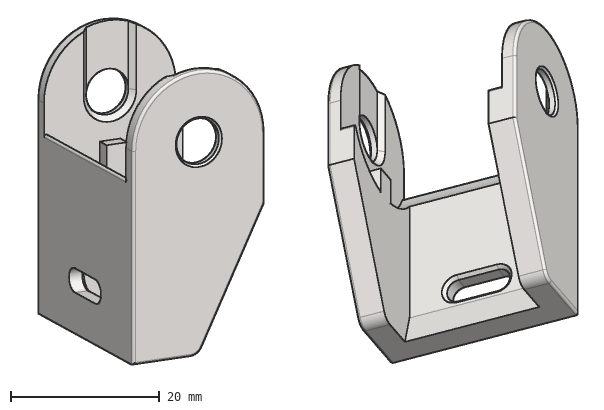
import cadquery as cq
import math

width = 28.0
depth = 20.0
height = 40.0
eye_radius = depth / 2
pivot_height = height - eye_radius

ear_thickness = 2.0
cheek_thickness = 4.0
rear_straight_bottom = 20.0
rear_corner_radius = 2.0
edge_radius = 0.4

clearance_radius = 10.5
clearance_lip_radius = 0.3
stop_width = 3.1
stop_top = 23.45

web_thickness = 2.5
foot_thickness = 4.0
foot_height = 4.8

hole_diameter = 6.4
hole_chamfer = 0.3
groove_depth = 0.8

slot_length = 9.35
slot_height = 3.4
slot_center_height = 7.5
slot_lip_thickness = 2.0

half_width = width / 2
half_depth = depth / 2
overcut = 0.4


def extrude_along_x(outline, x_start, x_end):
    """Extrude a closed YZ outline between two X positions."""
    return outline.extrude(x_end - x_start).translate((x_start, 0, 0))


def make_body():
    """Side outline across the full width, with both outer faces rounded at the edge."""
    outline = (
        cq.Workplane("YZ")
        .moveTo(-half_depth, 0)
        .lineTo(0, 0)
        .lineTo(half_depth, rear_straight_bottom)
        .lineTo(half_depth, pivot_height)
        .threePointArc((0, height), (-half_depth, pivot_height))
        .close()
    )
    body = extrude_along_x(outline, -half_width, half_width)
    rear_corner = cq.selectors.NearestToPointSelector((0, 0, 0))
    body = body.edges("|X").edges(rear_corner).fillet(rear_corner_radius)
    return body.faces("<X or >X").edges().fillet(edge_radius)


def make_inner_space():
    """Space between the cheeks, behind the web and its sloped foot."""
    web_back = -half_depth + web_thickness
    foot_back = -half_depth + foot_thickness
    outline = (
        cq.Workplane("YZ")
        .moveTo(foot_back, -overcut)
        .lineTo(foot_back, 0)
        .lineTo(web_back, foot_height)
        .lineTo(web_back, height + overcut)
        .lineTo(half_depth + overcut, height + overcut)
        .lineTo(half_depth + overcut, -overcut)
        .close()
    )
    inner_half_width = half_width - cheek_thickness
    return extrude_along_x(outline, -inner_half_width, inner_half_width)


def make_clearance():
    """Arc around the pivot with rounded lips, leaving a central stop standing."""
    lip_y = half_depth - clearance_lip_radius
    center_distance = clearance_radius + clearance_lip_radius
    angle = math.acos(lip_y / center_distance)
    lip_z = pivot_height - center_distance * math.sin(angle)
    arc_end_y = clearance_radius * math.cos(angle)
    arc_end_z = pivot_height - clearance_radius * math.sin(angle)
    outer_y = half_depth + overcut
    mid_angle = (math.pi - angle) / 2
    lip_mid_y = lip_y + clearance_lip_radius * math.cos(mid_angle)
    lip_mid_z = lip_z + clearance_lip_radius * math.sin(mid_angle)
    outline = (
        cq.Workplane("YZ")
        .moveTo(-outer_y, lip_z)
        .lineTo(-half_depth, lip_z)
        .threePointArc((-lip_mid_y, lip_mid_z), (-arc_end_y, arc_end_z))
        .threePointArc((0, pivot_height - clearance_radius), (arc_end_y, arc_end_z))
        .threePointArc((lip_mid_y, lip_mid_z), (half_depth, lip_z))
        .lineTo(outer_y, lip_z)
        .lineTo(outer_y, height + overcut)
        .lineTo(-outer_y, height + overcut)
        .close()
    )
    ear_inner = half_width - ear_thickness
    clearance = extrude_along_x(outline, -ear_inner, ear_inner)
    stop = cq.Workplane("XY").box(width, stop_width, stop_top, centered=(True, True, False))
    return clearance.cut(stop)


def make_entry_groove():
    """Groove in the right ear, open at the top and flared towards the inside."""
    floor_radius = hole_diameter / 2
    mouth_radius = floor_radius + groove_depth
    mouth_x = half_width - ear_thickness
    floor_x = mouth_x + groove_depth
    run_out = eye_radius + overcut
    channel = (
        cq.Workplane("XY", origin=(0, 0, pivot_height))
        .polyline([
            (mouth_x, -mouth_radius),
            (floor_x, -floor_radius),
            (floor_x, floor_radius),
            (mouth_x, mouth_radius),
        ])
        .close()
        .extrude(run_out)
    )
    round_end = cq.Workplane(
        cq.Solid.makeCone(
            mouth_radius, floor_radius, groove_depth,
            pnt=cq.Vector(mouth_x, 0, pivot_height), dir=cq.Vector(1, 0, 0),
        )
    )
    return channel.union(round_end)


def make_pivot_hole():
    """Through hole along X, chamfered at both outer faces."""
    radius = hole_diameter / 2
    outline = (
        cq.Workplane("XY", origin=(0, 0, pivot_height))
        .moveTo(-half_width, 0)
        .lineTo(-half_width, radius + hole_chamfer)
        .lineTo(-half_width + hole_chamfer, radius)
        .lineTo(half_width - hole_chamfer, radius)
        .lineTo(half_width, radius + hole_chamfer)
        .lineTo(half_width, 0)
        .close()
    )
    return outline.revolve(360, (0, 0, 0), (1, 0, 0))


def make_slot():
    """Horizontal slot through the front web, flared at 45 degrees on the inside."""
    flare_depth = web_thickness - slot_lip_thickness
    lip_y = -half_depth + slot_lip_thickness
    straight = (
        cq.Workplane("XZ", origin=(0, -half_depth, slot_center_height))
        .slot2D(slot_length, slot_height)
        .extrude(-slot_lip_thickness)
    )
    flare = (
        cq.Workplane("XZ", origin=(0, lip_y + flare_depth, slot_center_height))
        .slot2D(slot_length + 2 * flare_depth, slot_height + 2 * flare_depth)
        .extrude(flare_depth, taper=45)
    )
    return straight.union(flare)


entry_groove = make_entry_groove()
result = (
    make_body()
    .cut(make_inner_space())
    .cut(make_clearance())
    .cut(entry_groove)
    .cut(entry_groove.mirror("YZ"))
    .cut(make_pivot_hole())
    .cut(make_slot())
)